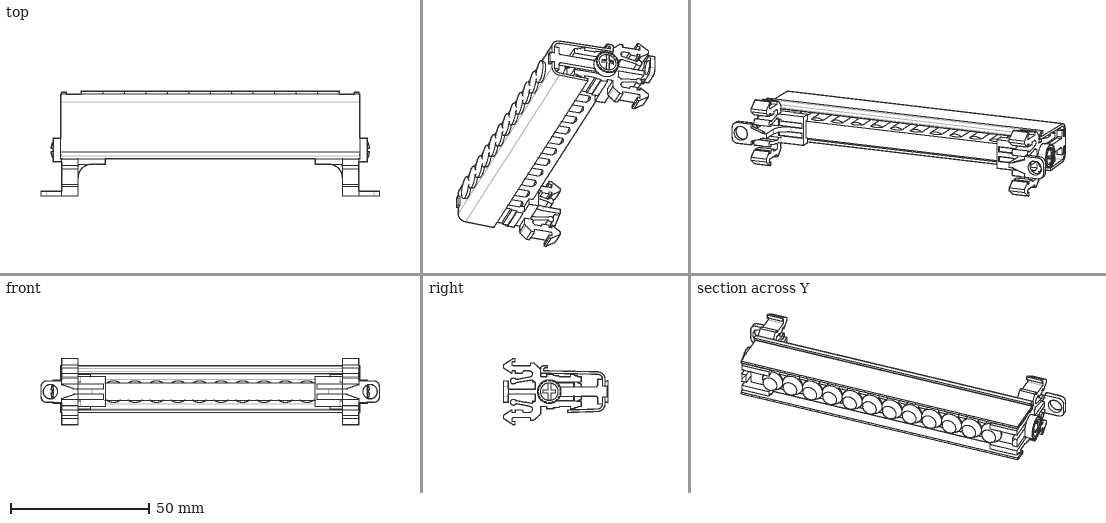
import cadquery as cq
import math


half_length = 61.2
hood_half_length = 54.1
clip_outer_x = 53.8
clip_inner_x = 47.8
arm_inner_x = 43.2
block_inner_x = 38.0
cap_outer_x = 53.9
cap_thickness = 1.8
box_half_length = 51.5

foot_y = -16.7
lens_rim_y = 21.3

sheet = 1.0
hood_back_y = 20.2
hood_corner_y = 17.4
hood_corner_z = 7.2
hood_radius = hood_back_y - hood_corner_y
inner_radius = hood_radius - sheet
hood_inner_y = hood_back_y - sheet
hood_notch_half = 2.0
upper_leg_y = -2.1
upper_leg_z = 7.6
lip_outer_y = -3.2
lip_back_y = -0.6
lip_top_z = 9.4
lip_under_z = 8.6
lip_radius = 1.1
lip_base_z = 7.2
lower_leg_y = 6.6
lower_leg_z = 7.6

box_front_y = -3.0
box_back_y = 8.7
box_half_height = 3.2
lens_count = 12
lens_pitch = 7.78
lens_radius = 3.9
rim_radius = 4.0
rim_root_radius = 3.8
lens_front_y = -1.1
lens_back_y = 11.6
lens_front_taper = 1.5
lens_back_taper = 2.5
lens_end_radius = 2.7

cap_web_half = 1.7
cap_flange_half = 4.5
cap_flange_y = 17.5
cap_tip_y = 21.0
cap_chamfer = 0.5

body_back_y = 2.5
body_half_height = 5.4
arm_inner_z = 3.4
arm_outer_z = body_half_height
arm_back_y = lens_back_y
ridge_ramp_z = 5.9
ridge_top_z = 6.2
claw_root_y = -3.1
claw_outer_z = 9.4
claw_inner_z = 7.5
claw_barb_z = 6.6
bulb_radius = 1.1
bulb_y = -13.0
bulb_z = 3.86

block_front_y = -5.1
block_depth = 3.7
groove_inner_z = 0.92
groove_width = 1.8
groove_depth = 0.6
groove_end_wall = 0.7
groove_floor_y = block_front_y + groove_depth

ear_thickness = 1.8
ear_half_width = 3.9
ear_corner = 2.1
ear_hole_x = 57.8
ear_hole_radius = 2.6
stalk_half = 0.92
gusset_radius = 4.9
corner_radius = 0.9
ear_tail_start_half = 2.6
ear_tail_end_x = 49.0

screw_radius = 4.3
screw_face_x = 56.8
dome_radius = 3.2
dome_height = 0.9
cross_width = 1.1
cross_long = 6.1
cross_short = 4.4
notch_count = 18
notch_width = 0.7
notch_length = 0.1
notch_depth = 0.4


def profile_plane(x):
    """Plane with local axes Y and Z, placed at x."""
    return cq.Workplane("YZ", origin=(x, 0, 0))


def left_extrude(outline, outer_x, inner_x):
    """Extrude a closed Y-Z outline at the -X end of the lamp."""
    return outline.extrude(outer_x - inner_x).translate((-outer_x, 0, 0))


def with_z_mirror(solid):
    return solid.union(solid.mirror("XY"))


def y_cone(x, y0, r0, y1, r1):
    """Turned body about a Y-parallel axis, from radius r0 at y0 to r1 at y1."""
    outline = cq.Workplane("XY").polyline([(0, y0), (r0, y0), (r1, y1), (0, y1)]).close()
    return outline.revolve(360, (0, 0, 0), (0, 1, 0)).translate((x, 0, 0))


def hood():
    """Bent sheet with two legs; the upper leg ends in an outward lip."""
    diag = math.sqrt(0.5)
    round_z = hood_corner_z - hood_radius
    outer_mid_y = hood_corner_y + hood_radius * diag
    outer_mid_z = round_z + hood_radius * diag
    inner_mid_y = hood_corner_y + inner_radius * diag
    inner_mid_z = round_z + inner_radius * diag
    inner_corner_z = hood_corner_z - sheet
    lip_round_y = lip_outer_y + lip_radius
    lip_round_z = lip_top_z - lip_radius

    sheet_solid = (
        profile_plane(-hood_half_length)
        .moveTo(hood_back_y, -round_z)
        .lineTo(hood_back_y, round_z)
        .threePointArc((outer_mid_y, outer_mid_z), (hood_corner_y, hood_corner_z))
        .lineTo(upper_leg_y, upper_leg_z)
        .threePointArc((upper_leg_y + 0.1, lip_under_z - 0.4), (upper_leg_y + 0.5, lip_under_z))
        .lineTo(lip_back_y, lip_under_z)
        .lineTo(lip_back_y, lip_top_z)
        .lineTo(lip_round_y, lip_top_z)
        .threePointArc(
            (lip_round_y - lip_radius * diag, lip_round_z + lip_radius * diag),
            (lip_outer_y, lip_round_z),
        )
        .lineTo(lip_outer_y, lip_base_z)
        .threePointArc((lip_outer_y + 0.2, lip_base_z - 0.5), (upper_leg_y, upper_leg_z - sheet))
        .lineTo(hood_corner_y, inner_corner_z)
        .threePointArc((inner_mid_y, inner_mid_z), (hood_inner_y, round_z))
        .lineTo(hood_inner_y, -round_z)
        .threePointArc((inner_mid_y, -inner_mid_z), (hood_corner_y, -inner_corner_z))
        .lineTo(lower_leg_y, sheet - lower_leg_z)
        .lineTo(lower_leg_y, -lower_leg_z)
        .lineTo(hood_corner_y, -hood_corner_z)
        .threePointArc((outer_mid_y, -outer_mid_z), (hood_back_y, -round_z))
        .close()
        .extrude(2 * hood_half_length)
    )
    cutout_length = hood_half_length - cap_outer_x + cap_thickness
    cutout = cq.Workplane("XY").box(cutout_length, 2 * sheet, 2 * hood_notch_half)
    for side in (-1, 1):
        middle_x = side * (hood_half_length - cutout_length / 2)
        sheet_solid = sheet_solid.cut(cutout.translate((middle_x, hood_back_y - sheet / 2, 0)))
    return sheet_solid


def lamp_box():
    return cq.Workplane("XY").box(
        2 * box_half_length, box_back_y - box_front_y, 2 * box_half_height
    ).translate((0, (box_front_y + box_back_y) / 2, 0))


def lens(x):
    front_taper_y = lens_front_y + lens_front_taper
    back_taper_y = lens_back_y - lens_back_taper
    body = y_cone(x, lens_front_y, lens_end_radius, front_taper_y, lens_radius)
    body = body.union(y_cone(x, front_taper_y, lens_radius, back_taper_y, lens_radius))
    body = body.union(y_cone(x, back_taper_y, lens_radius, lens_back_y, lens_end_radius))
    return body.union(y_cone(x, hood_back_y, rim_root_radius, lens_rim_y, rim_radius))


def end_cap():
    outline = cq.Workplane("YZ").polyline([
        (0, cap_web_half),
        (cap_flange_y - cap_chamfer, cap_web_half),
        (cap_flange_y, cap_web_half + cap_chamfer),
        (cap_flange_y, cap_flange_half),
        (hood_inner_y, cap_flange_half),
        (hood_inner_y, hood_notch_half),
        (cap_tip_y, hood_notch_half),
        (cap_tip_y, 0),
        (0, 0),
    ]).close()
    return with_z_mirror(left_extrude(outline, cap_outer_x, cap_outer_x - cap_thickness))


def clip_arm():
    """Arm inside the hood with two ridges that press on the hood legs."""
    outline = cq.Workplane("YZ").polyline([
        (arm_back_y, arm_inner_z),
        (arm_back_y, arm_outer_z),
        (10.4, arm_outer_z),
        (10.2, 5.8),
        (9.1, ridge_ramp_z),
        (9.1, ridge_top_z),
        (7.6, ridge_top_z),
        (7.6, arm_outer_z),
        (3.8, arm_outer_z),
        (3.3, 5.8),
        (1.5, ridge_ramp_z),
        (1.5, ridge_top_z),
        (-1.0, ridge_top_z),
        (-1.0, arm_outer_z),
        (claw_root_y, arm_outer_z),
        (claw_root_y, arm_inner_z),
    ]).close()
    return with_z_mirror(left_extrude(outline, clip_outer_x, arm_inner_x))


def clip_claw():
    """Outer snap claw with its hook and barbed tip."""
    outline = (
        cq.Workplane("YZ")
        .moveTo(claw_root_y, arm_inner_z)
        .lineTo(claw_root_y, 7.8)
        .lineTo(-3.4, 8.5)
        .lineTo(-5.6, 10.4)
        .lineTo(-6.9, 10.4)
        .lineTo(-6.9, claw_outer_z)
        .lineTo(-13.0, claw_outer_z)
        .tangentArcPoint((-13.5, 9.9), relative=False)
        .lineTo(-13.5, 10.8)
        .lineTo(-12.4, 10.8)
        .lineTo(-12.4, 12.0)
        .lineTo(-13.1, 12.0)
        .lineTo(foot_y, 9.7)
        .lineTo(foot_y, 8.6)
        .lineTo(-13.7, claw_barb_z)
        .lineTo(-13.5, claw_barb_z)
        .lineTo(-13.5, claw_inner_z)
        .lineTo(-12.4, claw_inner_z)
        .lineTo(-12.4, claw_barb_z)
        .lineTo(-9.8, claw_barb_z)
        .lineTo(-9.3, claw_inner_z)
        .lineTo(-7.1, claw_inner_z)
        .threePointArc((-6.1, 6.4), (-6.9, 5.4))
        .lineTo(-6.2, 4.2)
        .lineTo(block_front_y, arm_inner_z)
        .close()
    )
    return with_z_mirror(left_extrude(outline, clip_outer_x, clip_inner_x))


def clip_finger():
    """Springy inner finger ending in a round bulb."""
    outline = cq.Workplane("YZ").polyline([
        (-6.0, 4.2),
        (-6.0, 5.4),
        (-6.9, 5.4),
        (-11.9, 4.4),
        (bulb_y, 4.3),
        (bulb_y, 3.1),
        (-6.4, 4.2),
    ]).close()
    finger = left_extrude(outline, clip_outer_x, clip_inner_x)
    bulb = profile_plane(-clip_outer_x).center(bulb_y, bulb_z).circle(bulb_radius)
    return with_z_mirror(finger.union(bulb.extrude(clip_outer_x - clip_inner_x)))


def clip_body():
    outline = cq.Workplane("YZ").polyline([
        (body_back_y, -body_half_height),
        (body_back_y, body_half_height),
        (block_front_y, body_half_height),
        (block_front_y, -body_half_height),
    ]).close()
    return left_extrude(outline, clip_outer_x, clip_inner_x)


def base_block():
    length = clip_inner_x - block_inner_x
    middle_x = -(clip_inner_x + block_inner_x) / 2
    block = cq.Workplane("XY").box(length, block_depth, 2 * body_half_height)
    block = block.translate((middle_x, block_front_y + block_depth / 2, 0))
    groove = cq.Workplane("XY").box(length - groove_end_wall, groove_depth, groove_width)
    groove = groove.translate((
        middle_x - groove_end_wall / 2,
        block_front_y + groove_depth / 2,
        groove_inner_z + groove_width / 2,
    ))
    block = block.cut(with_z_mirror(groove))
    return block.union(with_z_mirror(block_fillet(corner_radius, arm_inner_z, body_half_height)))


def block_fillet(radius, bottom_z, top_z):
    """Hollow-rounded fillet between the clip side and the front of the base block."""
    arc_offset = radius * (1 - math.sqrt(0.5))
    return (
        cq.Workplane("XY", origin=(-clip_inner_x, 0, bottom_z))
        .moveTo(0, groove_floor_y)
        .lineTo(0, block_front_y - radius)
        .threePointArc((arc_offset, block_front_y - arc_offset), (radius, block_front_y))
        .lineTo(radius, groove_floor_y)
        .close()
        .extrude(top_z - bottom_z)
    )


def mounting_ear():
    """Screw ear on a stalk, with a gusset to the base block."""
    plate = (
        cq.Workplane("XZ", origin=(0, foot_y, 0))
        .polyline([
            (-half_length, -ear_half_width),
            (-half_length, ear_half_width),
            (-clip_outer_x, ear_half_width),
            (-clip_outer_x, ear_tail_start_half),
            (-ear_tail_end_x, stalk_half),
            (-clip_inner_x, stalk_half),
            (-clip_inner_x, -stalk_half),
            (-ear_tail_end_x, -stalk_half),
            (-clip_outer_x, -ear_tail_start_half),
            (-clip_outer_x, -ear_half_width),
        ])
        .close()
        .extrude(-ear_thickness)
        .edges("|Y and <X")
        .fillet(ear_corner)
    )
    hole = cq.Workplane("XZ", origin=(-ear_hole_x, foot_y, 0)).circle(ear_hole_radius)
    plate = plate.cut(hole.extrude(-ear_thickness))
    length = clip_outer_x - clip_inner_x
    width = groove_floor_y - foot_y
    stalk = cq.Workplane("XY").box(length, width, 2 * stalk_half)
    stalk = stalk.translate((-clip_inner_x - length / 2, foot_y + width / 2, 0))
    return plate.union(stalk).union(block_fillet(gusset_radius, -stalk_half, stalk_half))


def screw():
    head = profile_plane(-screw_face_x).circle(screw_radius).extrude(screw_face_x - clip_outer_x)
    sphere_radius = (dome_radius**2 + dome_height**2) / (2 * dome_height)
    sphere = cq.Workplane("XY").sphere(sphere_radius)
    sphere = sphere.translate((sphere_radius - screw_face_x - dome_height, 0, 0))
    dome = profile_plane(-screw_face_x - dome_height).circle(dome_radius).extrude(dome_height)
    dome = dome.intersect(sphere)
    for y_size, z_size in ((cross_width, cross_long), (cross_short, cross_width)):
        slot = cq.Workplane("XY").box(2 * dome_height, y_size, z_size)
        dome = dome.cut(slot.translate((-screw_face_x - dome_height, 0, 0)))
    notch = cq.Workplane("XY").box(2 * notch_length, notch_width, 2 * notch_depth)
    notch = notch.translate((-screw_face_x, 0, screw_radius))
    for i in range(notch_count):
        head = head.cut(notch.rotate((0, 0, 0), (1, 0, 0), i * 360 / notch_count))
    return head.union(dome)


def lamp_end():
    end = end_cap().union(clip_body()).union(clip_arm()).union(clip_claw())
    end = end.union(clip_finger()).union(base_block())
    return end.union(mounting_ear()).union(screw())


left_end = lamp_end()
result = hood().union(lamp_box())
for i in range(lens_count):
    result = result.union(lens((i - (lens_count - 1) / 2) * lens_pitch))
result = result.union(left_end).union(left_end.mirror("YZ"))